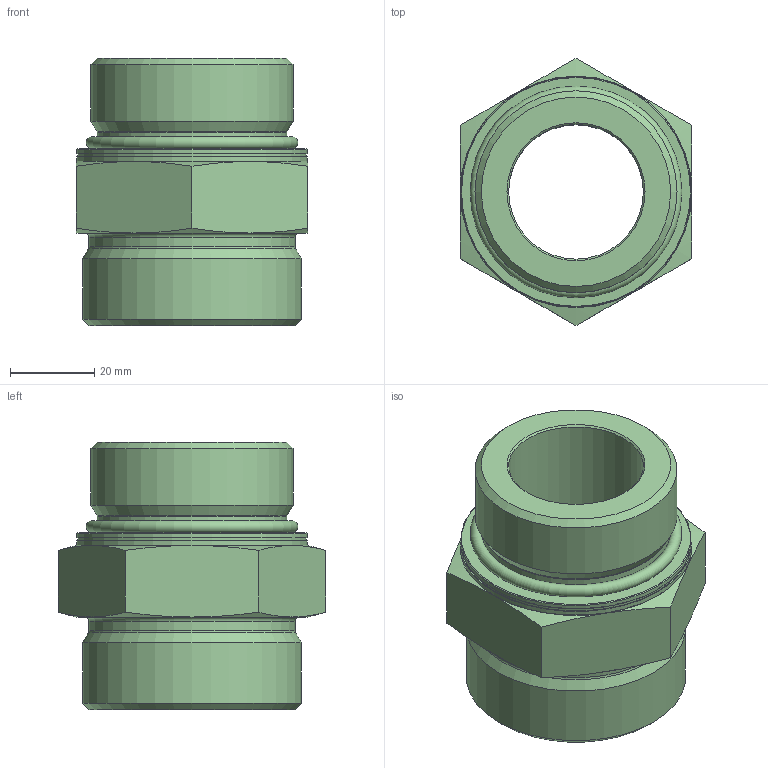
import cadquery as cq
import math

total_height = 63.5
bore_diameter = 32.0
bore_chamfer = 0.4
end_chamfer = 1.5
runout_angle = math.radians(30)

lower_thread_diameter = 52.0
lower_neck_diameter = 49.0
lower_neck_bottom = 18.5
lower_neck_fillet = 1.0

hex_across_flats = 55.0
hex_bottom = 22.0
hex_top = 39.0
hex_chamfer_angle = math.radians(15)

collar_diameter = 54.8
collar_top = 42.0
collar_chamfer = 0.2
collar_groove_bottom = 40.1
collar_groove_top = 40.8
collar_groove_depth = 0.2

upper_thread_diameter = 48.0
upper_neck_diameter = 45.0
upper_neck_top = 46.0
upper_neck_fillet = 0.5

ring_inner_diameter = 44.5
ring_section_diameter = 2.9

lower_thread_radius = lower_thread_diameter / 2
lower_neck_radius = lower_neck_diameter / 2
upper_thread_radius = upper_thread_diameter / 2
upper_neck_radius = upper_neck_diameter / 2
collar_radius = collar_diameter / 2
hex_inner_radius = hex_across_flats / 2
hex_corner_radius = hex_inner_radius / math.cos(math.radians(30))
hex_corner_drop = (hex_corner_radius - hex_inner_radius) * math.tan(hex_chamfer_angle)

lower_runout_height = (lower_thread_radius - lower_neck_radius) / math.tan(runout_angle)
lower_thread_top = lower_neck_bottom - lower_runout_height
upper_runout_height = (upper_thread_radius - upper_neck_radius) / math.tan(runout_angle)
upper_thread_bottom = upper_neck_top + upper_runout_height

ring_section_radius = ring_section_diameter / 2
ring_center_radius = ring_inner_diameter / 2 + ring_section_radius
ring_center_z = collar_top + ring_section_radius


def revolve_about_z(profile):
    """Turn a closed (radius, z) profile in the XZ plane fully around the Z axis."""
    return profile.revolve(360, (0, 0, 0), (0, 1, 0))


def fillet_tangent_length(radius, corner_turn):
    """Distance from a corner to the tangent points of a fillet that turns by corner_turn."""
    return radius * math.tan(corner_turn / 2)


def make_lower_end():
    """Lower threaded end, its run-out cone and the filleted neck below the hexagon."""
    tangent = fillet_tangent_length(lower_neck_fillet, runout_angle)
    cone_tangent_radius = lower_neck_radius + tangent * math.sin(runout_angle)
    cone_tangent_z = lower_neck_bottom - tangent * math.cos(runout_angle)
    neck_top_fillet_start = hex_bottom - lower_neck_fillet
    profile = (
        cq.Workplane("XZ")
        .moveTo(0, 0)
        .lineTo(lower_thread_radius - end_chamfer, 0)
        .lineTo(lower_thread_radius, end_chamfer)
        .lineTo(lower_thread_radius, lower_thread_top)
        .lineTo(cone_tangent_radius, cone_tangent_z)
        .radiusArc((lower_neck_radius, lower_neck_bottom + tangent), lower_neck_fillet)
        .lineTo(lower_neck_radius, neck_top_fillet_start)
        .radiusArc((lower_neck_radius + lower_neck_fillet, hex_bottom), lower_neck_fillet)
        .lineTo(0, hex_bottom)
        .close()
    )
    return revolve_about_z(profile)


def make_hexagon():
    """Hexagon with corners on the Y axis, both ends chamfered by cones."""
    prism = (
        cq.Workplane("XY", origin=(0, 0, hex_bottom))
        .polygon(6, 2 * hex_corner_radius)
        .extrude(hex_top - hex_bottom)
        .rotate((0, 0, 0), (0, 0, 1), 30)
    )
    chamfer_envelope = revolve_about_z(
        cq.Workplane("XZ")
        .moveTo(0, hex_bottom)
        .lineTo(hex_inner_radius, hex_bottom)
        .lineTo(hex_corner_radius, hex_bottom + hex_corner_drop)
        .lineTo(hex_corner_radius, hex_top - hex_corner_drop)
        .lineTo(hex_inner_radius, hex_top)
        .lineTo(0, hex_top)
        .close()
    )
    return prism.intersect(chamfer_envelope)


def make_collar():
    """Sealing collar with a chamfered top edge and a shallow groove around it."""
    groove_radius = collar_radius - collar_groove_depth
    profile = (
        cq.Workplane("XZ")
        .moveTo(0, hex_top)
        .lineTo(collar_radius, hex_top)
        .lineTo(collar_radius, collar_groove_bottom)
        .lineTo(groove_radius, collar_groove_bottom)
        .lineTo(groove_radius, collar_groove_top)
        .lineTo(collar_radius, collar_groove_top)
        .lineTo(collar_radius, collar_top - collar_chamfer)
        .lineTo(collar_radius - collar_chamfer, collar_top)
        .lineTo(0, collar_top)
        .close()
    )
    return revolve_about_z(profile)


def make_upper_end():
    """Upper neck, run-out cone and upper threaded end."""
    tangent = fillet_tangent_length(upper_neck_fillet, runout_angle)
    cone_tangent_radius = upper_neck_radius + tangent * math.sin(runout_angle)
    cone_tangent_z = upper_neck_top + tangent * math.cos(runout_angle)
    profile = (
        cq.Workplane("XZ")
        .moveTo(0, collar_top)
        .lineTo(upper_neck_radius, collar_top)
        .lineTo(upper_neck_radius, upper_neck_top - tangent)
        .radiusArc((cone_tangent_radius, cone_tangent_z), upper_neck_fillet)
        .lineTo(upper_thread_radius, upper_thread_bottom)
        .lineTo(upper_thread_radius, total_height - end_chamfer)
        .lineTo(upper_thread_radius - end_chamfer, total_height)
        .lineTo(0, total_height)
        .close()
    )
    return revolve_about_z(profile)


def make_bore():
    """Through bore with a small chamfer at its upper mouth."""
    bore_radius = bore_diameter / 2
    profile = (
        cq.Workplane("XZ")
        .moveTo(0, 0)
        .lineTo(bore_radius, 0)
        .lineTo(bore_radius, total_height - bore_chamfer)
        .lineTo(bore_radius + bore_chamfer, total_height)
        .lineTo(0, total_height)
        .close()
    )
    return revolve_about_z(profile)


def make_o_ring():
    """O-ring of round section."""
    section = cq.Workplane("XZ").center(ring_center_radius, ring_center_z).circle(ring_section_radius)
    return section.revolve(360, (-ring_center_radius, 0, 0), (-ring_center_radius, 1, 0))


def make_fitting(ring):
    """Fitting body; the slightly smaller ring sits in a matching shallow seat in the neck."""
    body = make_lower_end().union(make_hexagon()).union(make_collar()).union(make_upper_end())
    return body.cut(make_bore()).cut(ring)


o_ring = make_o_ring()
fitting = make_fitting(o_ring)

result = cq.Compound.makeCompound([fitting.solids().val(), o_ring.val()])